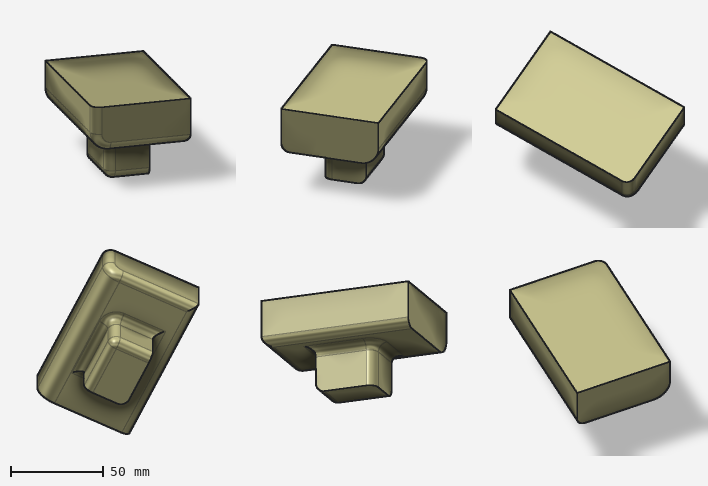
import cadquery as cq

block_length = 85.7
block_width = 55.6
total_height = 50.8
block_height = total_height / 2
stem_length = 34.35
stem_width = 24.8
stem_height = block_height
stem_offset = 0.25
round_radius = 5.05
front_round_radius = 2 * round_radius
selection_margin = 0.1


def edges_near(solid, points):
    """Pick the edges whose midpoints lie at the given points."""
    selected = solid.edges(cq.selectors.NearestToPointSelector(points[0]))
    for point in points[1:]:
        selected = selected.add(solid.edges(cq.selectors.NearestToPointSelector(point)))
    return selected


def make_block():
    """Block above Z = 0 with a large front lower round and smaller edge rounds."""
    block = cq.Workplane("XY").box(block_length, block_width, block_height, centered=(True, True, False))
    block = block.edges("<Y and <Z").fillet(front_round_radius)
    half_length = block_length / 2
    half_width = block_width / 2
    front_corner = (half_length, -half_width, (block_height + front_round_radius) / 2)
    end_bottom = (half_length, front_round_radius / 2, 0)
    back_bottom = (0, half_width, 0)
    return edges_near(block, [front_corner, end_bottom, back_bottom]).fillet(round_radius)


def make_stem():
    """Stem hanging below Z = 0, with two rounded corners and a rounded lower rim."""
    stem = cq.Workplane("XY").box(stem_length, stem_width, stem_height, centered=(True, True, False))
    stem = stem.translate((0, 0, -stem_height))
    half_length = stem_length / 2
    half_width = stem_width / 2
    back_corner = (-half_length, half_width, -stem_height / 2)
    front_corner = (half_length, -half_width, -stem_height / 2)
    front_bottom = (0, -half_width, -stem_height)
    end_bottom = (half_length, 0, -stem_height)
    stem = edges_near(stem, [back_corner]).fillet(round_radius)
    return edges_near(stem, [front_corner, front_bottom, end_bottom]).fillet(round_radius)


def blend_joint(body):
    """Fillet the inside corner where the stem meets the underside of the block."""
    reach_x = stem_length / 2 + selection_margin
    reach_y = stem_width / 2 + selection_margin
    joint_edges = body.edges(
        cq.selectors.BoxSelector(
            (-reach_x, stem_offset - reach_y, -selection_margin),
            (reach_x, stem_offset + reach_y, selection_margin),
        )
    )
    return joint_edges.fillet(round_radius)


result = blend_joint(make_block().union(make_stem().translate((0, stem_offset, 0))))